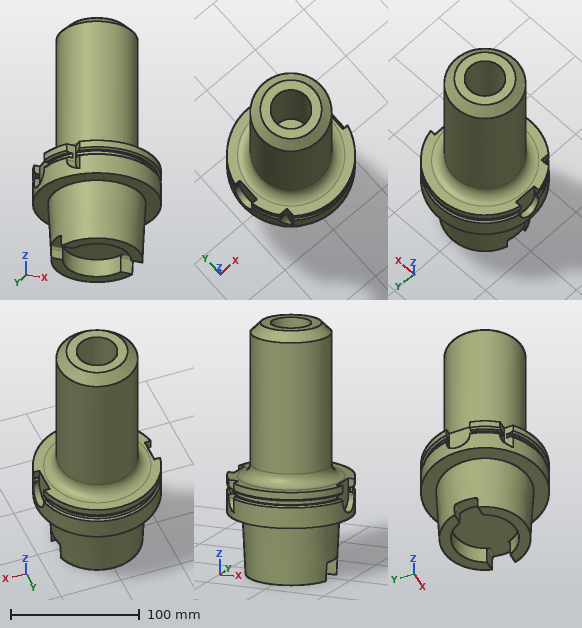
import cadquery as cq
import math

projection_length = 152.4
taper_length = 50.0

flange_diameter = 100.0
flange_thickness = 29.0
flange_radius = flange_diameter / 2

taper_top_radius = 38.1
taper_bottom_radius = 35.6

groove_floor_radius = 46.0
groove_center_z = 19.9
groove_mouth_width = 6.5
groove_lip_radius = 48.3
groove_width = 3.8

nose_radius = 31.75
nose_fillet_radius = 10.0
nose_chamfer_width = 7.9
nose_chamfer_height = 7.6
bore_diameter = 31.75
bore_depth = 80.0

slot_bottom_z = 5.0
slot_floor_distance = 44.0
left_slot_width = 20.0
right_slot_width = 22.0
corner_notch_width = 20.0
corner_notch_distance = 31.3

drive_slot_width = 20.0
left_drive_slot_depth = 10.0
right_drive_slot_depth = 15.0
drive_slot_corner_radius = 2.0
shank_bore_diameter = 53.0
shank_bore_depth = right_drive_slot_depth


def make_body():
    """Revolve the taper, grooved flange and nose about Z."""
    mouth_low = groove_center_z - groove_mouth_width / 2
    mouth_high = groove_center_z + groove_mouth_width / 2
    wall_low = groove_center_z - groove_width / 2
    wall_high = groove_center_z + groove_width / 2
    fillet_center_radius = nose_radius + nose_fillet_radius
    fillet_top_z = flange_thickness + nose_fillet_radius
    fillet_mid_offset = nose_fillet_radius * math.sqrt(0.5)
    return (
        cq.Workplane("XZ")
        .moveTo(0, -taper_length)
        .lineTo(taper_bottom_radius, -taper_length)
        .lineTo(taper_top_radius, 0)
        .lineTo(flange_radius, 0)
        .lineTo(flange_radius, mouth_low)
        .lineTo(groove_lip_radius, wall_low)
        .lineTo(groove_floor_radius, wall_low)
        .lineTo(groove_floor_radius, wall_high)
        .lineTo(groove_lip_radius, wall_high)
        .lineTo(flange_radius, mouth_high)
        .lineTo(flange_radius, flange_thickness)
        .lineTo(fillet_center_radius, flange_thickness)
        .threePointArc(
            (fillet_center_radius - fillet_mid_offset, fillet_top_z - fillet_mid_offset),
            (nose_radius, fillet_top_z),
        )
        .lineTo(nose_radius, projection_length - nose_chamfer_height)
        .lineTo(nose_radius - nose_chamfer_width, projection_length)
        .lineTo(0, projection_length)
        .close()
        .revolve(360, (0, 0, 0), (0, 1, 0))
    )


def make_tool_bore():
    """Blind bore entering from the top of the nose."""
    return (
        cq.Workplane("XY")
        .workplane(offset=projection_length - bore_depth)
        .circle(bore_diameter / 2)
        .extrude(bore_depth)
    )


def make_shank_bore():
    """Blind bore that makes the end of the taper hollow."""
    return (
        cq.Workplane("XY")
        .workplane(offset=-taper_length)
        .circle(shank_bore_diameter / 2)
        .extrude(shank_bore_depth)
    )


def make_flange_slot(side, width, floor_distance, center_y):
    """Slot open at the flange top; side is -1 for the -X side and +1 for the +X side."""
    radius = width / 2
    round_center_z = slot_bottom_z + radius
    return (
        cq.Workplane("YZ")
        .workplane(offset=side * floor_distance)
        .moveTo(center_y - radius, flange_thickness)
        .lineTo(center_y - radius, round_center_z)
        .threePointArc((center_y, slot_bottom_z), (center_y + radius, round_center_z))
        .lineTo(center_y + radius, flange_thickness)
        .close()
        .extrude(side * flange_radius)
    )


def make_drive_slot(side, depth):
    """Slot in the end of the taper, running outward from the axis with rounded inner corners."""
    return (
        cq.Workplane("XY")
        .box(flange_radius, drive_slot_width, depth, centered=(True, True, False))
        .edges(">Z and |X")
        .fillet(drive_slot_corner_radius)
        .translate((side * flange_radius / 2, 0, -taper_length))
    )


corner_notch_center_y = -(corner_notch_distance + corner_notch_width / 2)

result = (
    make_body()
    .cut(make_tool_bore())
    .cut(make_shank_bore())
    .cut(make_flange_slot(-1, left_slot_width, slot_floor_distance, 0))
    .cut(make_flange_slot(1, right_slot_width, slot_floor_distance, 0))
    .cut(make_flange_slot(-1, corner_notch_width, corner_notch_distance, corner_notch_center_y))
    .cut(make_drive_slot(-1, left_drive_slot_depth))
    .cut(make_drive_slot(1, right_drive_slot_depth))
)